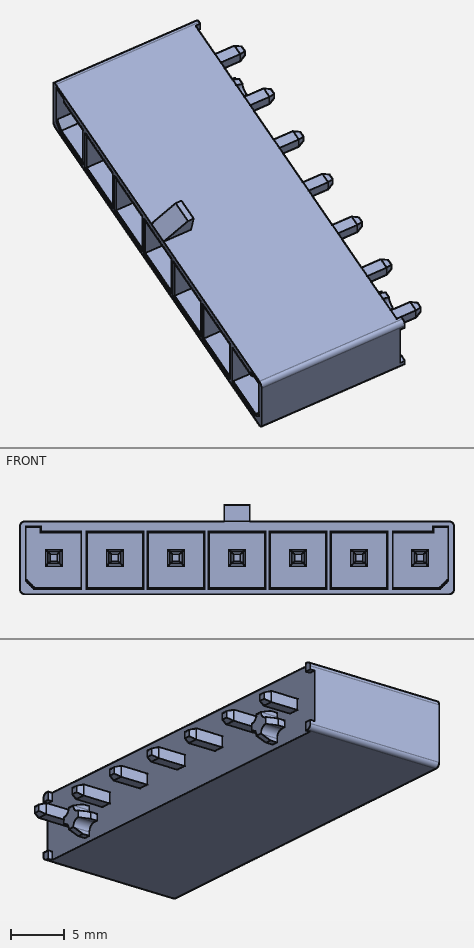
import cadquery as cq


PIN_COUNT = 7
ROW_LENGTH = 34.2
PITCH = ROW_LENGTH / (PIN_COUNT - 1)

LENGTH = 40.55
HEIGHT = 6.8
DEPTH = 14.75
CORNER_RADIUS = 0.5

FOOT_WIDTH = 0.75
FOOT_HEIGHT = 0.85
FOOT_LENGTH = 0.5

CELL_SIZE = 5.15
CELL_BOTTOM = 0.6
REAR_WALL = 2.45
CELL_LEAD_IN = 0.12
CELL_TOP = CELL_BOTTOM + CELL_SIZE
CELL_DEPTH = DEPTH - REAR_WALL

END_WALL = 0.55
NOTCH_WIDTH = 1.35
NOTCH_HEIGHT = 0.5
END_BEVEL = 0.8

LATCH_WIDTH = 2.4
LATCH_HEIGHT = 1.55
LATCH_CREST_FRONT = 2.6
LATCH_CREST_BACK = 3.2
LATCH_FOOT_BACK = 2.9

PEG_Z = 2.05
PEG_LENGTH = 1.9
PEG_ARM_REACH = 1.1
PEG_ARM_WIDTH = 0.7
RIB_REACH = 1.5
RIB_STRAIGHT = 0.77

PIN_SIZE = 1.15
PIN_Z = 3.4
PIN_FRONT = 4.05
PIN_BACK = 18.5
PIN_TIP_LENGTH = 0.65
PIN_TIP_SIZE = 0.65
PIN_HOLE_LEAD_IN = 0.2

pin_positions = [i * PITCH - ROW_LENGTH / 2 for i in range(PIN_COUNT)]


def plane_at(y, x=0.0, z=0.0):
    """Workplane facing +Y with its local x along -X and its local y along Z."""
    return cq.Workplane(cq.Plane(origin=(x, y, z), xDir=(-1, 0, 0), normal=(0, 1, 0)))


def make_shell():
    """Rounded block whose board side is cut back everywhere except at the four corners."""
    full_depth = DEPTH + FOOT_LENGTH
    block = plane_at(0, z=HEIGHT / 2).rect(LENGTH, HEIGHT).extrude(full_depth)
    block = block.edges("|Y").fillet(CORNER_RADIUS)
    board_side = plane_at(DEPTH, z=HEIGHT / 2)
    between_ends = board_side.rect(LENGTH - 2 * FOOT_WIDTH, HEIGHT).extrude(FOOT_LENGTH)
    between_levels = board_side.rect(LENGTH, HEIGHT - 2 * FOOT_HEIGHT).extrude(FOOT_LENGTH)
    return block.cut(between_ends).cut(between_levels)


def square_corners(x, z, size):
    """Corners (x, z) of a square about a centre."""
    half = size / 2
    return [(x - half, z - half), (x + half, z - half), (x + half, z + half), (x - half, z + half)]


def draw_outline(y, corners):
    """Closed outline through (x, z) corners in the plane at y."""
    return plane_at(y).polyline([(-x, z) for x, z in corners]).close()


def make_lead_in(y, corners, size):
    """45 degree funnel that is wider than the outline by the given size at its mouth."""
    return draw_outline(y, corners).offset2D(size, "intersection").extrude(size, taper=45)


def make_inner_cell(x):
    corners = square_corners(x, CELL_BOTTOM + CELL_SIZE / 2, CELL_SIZE)
    return draw_outline(0, corners).extrude(CELL_DEPTH).union(make_lead_in(0, corners, CELL_LEAD_IN))


def make_left_end_cell():
    """End cell at -X; its lead-in runs along the top and bottom but not the side walls."""
    left = END_WALL - LENGTH / 2
    right = pin_positions[0] + CELL_SIZE / 2
    notch_right = left + NOTCH_WIDTH
    notch_top = CELL_TOP + NOTCH_HEIGHT
    corners = [
        (left + END_BEVEL, CELL_BOTTOM),
        (right, CELL_BOTTOM),
        (right, CELL_TOP),
        (notch_right, CELL_TOP),
        (notch_right, notch_top),
        (left, notch_top),
        (left, CELL_BOTTOM + END_BEVEL),
    ]
    between_sides = plane_at(0, (left + right) / 2).rect(right - left, 2 * HEIGHT).extrude(CELL_DEPTH)
    lead_in = make_lead_in(0, corners, CELL_LEAD_IN).intersect(between_sides)
    return draw_outline(0, corners).extrude(CELL_DEPTH).union(lead_in)


def make_pin_hole(x):
    """Square hole through the rear wall with a funnel on the cell side."""
    corners = square_corners(x, PIN_Z, PIN_SIZE)
    lead_in = make_lead_in(CELL_DEPTH, corners, PIN_HOLE_LEAD_IN)
    return draw_outline(CELL_DEPTH, corners).extrude(REAR_WALL).union(lead_in)


def make_latch():
    profile = [
        (0, HEIGHT),
        (LATCH_CREST_FRONT, HEIGHT + LATCH_HEIGHT),
        (LATCH_CREST_BACK, HEIGHT + LATCH_HEIGHT),
        (LATCH_FOOT_BACK, HEIGHT),
    ]
    return cq.Workplane("YZ").polyline(profile).close().extrude(LATCH_WIDTH / 2, both=True)


def make_peg(x):
    """Column with a concave quarter round between arms, and two crossed tapered ribs."""
    half_arm = PEG_ARM_WIDTH / 2
    base = plane_at(DEPTH, x, PEG_Z)
    column = base.rect(2 * PEG_ARM_REACH, 2 * PEG_ARM_REACH).extrude(PEG_LENGTH)
    corners = base.rect(2 * PEG_ARM_REACH, 2 * PEG_ARM_REACH, forConstruction=True).vertices()
    peg = column.cut(corners.circle(PEG_ARM_REACH - half_arm).extrude(PEG_LENGTH))

    rib_profile = [
        (-RIB_REACH, 0),
        (RIB_REACH, 0),
        (RIB_REACH, RIB_STRAIGHT),
        (PEG_ARM_REACH, PEG_LENGTH),
        (-PEG_ARM_REACH, PEG_LENGTH),
        (-RIB_REACH, RIB_STRAIGHT),
    ]
    rib = cq.Workplane("XY").polyline(rib_profile).close().extrude(half_arm, both=True)
    for angle in (0, 90):
        turned = rib.rotate((0, 0, 0), (0, 1, 0), angle)
        peg = peg.union(turned.translate((x, DEPTH, PEG_Z)))
    return peg


def make_housing():
    housing = make_shell().union(make_latch())

    peg_x = (pin_positions[0] + pin_positions[1]) / 2
    for x in (peg_x, -peg_x):
        housing = housing.union(make_peg(x))

    left_end_cell = make_left_end_cell()
    housing = housing.cut(left_end_cell).cut(left_end_cell.mirror("YZ"))
    for x in pin_positions[1:-1]:
        housing = housing.cut(make_inner_cell(x))
    for x in pin_positions:
        housing = housing.cut(make_pin_hole(x))
    return housing


def make_pin(x):
    """Square pin with a tapered tip at both ends."""
    shaft_front = PIN_FRONT + PIN_TIP_LENGTH
    shaft_back = PIN_BACK - PIN_TIP_LENGTH
    pin = plane_at(shaft_front, x, PIN_Z).rect(PIN_SIZE, PIN_SIZE).extrude(shaft_back - shaft_front)
    for shaft_end, tip_end in ((shaft_front, PIN_FRONT), (shaft_back, PIN_BACK)):
        tip = (
            plane_at(shaft_end, x, PIN_Z)
            .rect(PIN_SIZE, PIN_SIZE)
            .workplane(offset=tip_end - shaft_end)
            .rect(PIN_TIP_SIZE, PIN_TIP_SIZE)
            .loft()
        )
        pin = pin.union(tip)
    return pin


housing = make_housing()
pins = [make_pin(x) for x in pin_positions]

result = cq.Compound.makeCompound([housing.val(), *[pin.val() for pin in pins]])